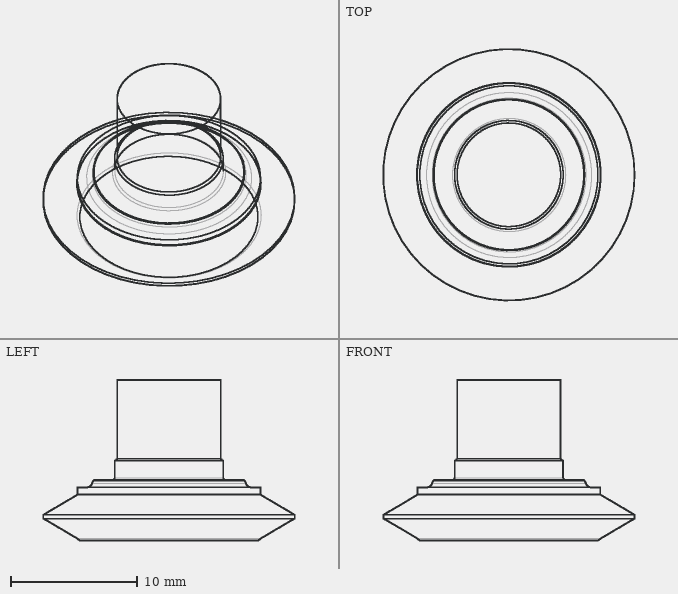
import cadquery as cq
import math

rim_radius = 9.97
rim_bottom = 1.75
rim_top = 2.05
cone_end_radius = 7.3
lower_cone_end = 0.18
cone_height = rim_bottom - lower_cone_end
upper_cone_end = rim_top + cone_height
base_radius = 7.05
wheel_top = 3.69

flange_radius = 7.25
flange_top = 4.23
boss_radius = 6.0
boss_foot_radius = 6.1
boss_foot_height = 4.57
boss_top = 4.83
boss_edge_break = 0.05
boss_fillet_end_radius = 6.55
collar_radius = 4.3
collar_top = 6.48
collar_foot_fillet = 0.18
collar_chamfer_height = 0.15
shank_radius = 4.1
shank_top = 12.75


def revolve_about_z(profile):
    """Revolve a closed radius-height outline a full turn about Z."""
    return profile.revolve(360, (0, 0, 0), (0, 1, 0))


def make_wheel():
    profile = (
        cq.Workplane("XZ")
        .lineTo(base_radius, 0)
        .lineTo(cone_end_radius, lower_cone_end)
        .lineTo(rim_radius, rim_bottom)
        .lineTo(rim_radius, rim_top)
        .lineTo(cone_end_radius, upper_cone_end)
        .lineTo(flange_radius, wheel_top)
        .lineTo(0, wheel_top)
        .close()
    )
    return revolve_about_z(profile)


def make_spindle():
    fillet_inset = collar_foot_fillet * (1 - math.sqrt(0.5))
    foot_fillet_middle = (collar_radius + fillet_inset, boss_top + fillet_inset)
    profile = (
        cq.Workplane("XZ")
        .moveTo(0, wheel_top)
        .lineTo(flange_radius, wheel_top)
        .lineTo(flange_radius, flange_top)
        .lineTo(boss_fillet_end_radius, flange_top)
        .tangentArcPoint((boss_foot_radius, boss_foot_height), relative=False)
        .lineTo(boss_radius, boss_top - boss_edge_break)
        .lineTo(boss_radius - boss_edge_break, boss_top)
        .lineTo(collar_radius + collar_foot_fillet, boss_top)
        .threePointArc(foot_fillet_middle, (collar_radius, boss_top + collar_foot_fillet))
        .lineTo(collar_radius, collar_top - collar_chamfer_height)
        .lineTo(shank_radius, collar_top)
        .lineTo(shank_radius, shank_top)
        .lineTo(0, shank_top)
        .close()
    )
    return revolve_about_z(profile)


wheel = make_wheel()
spindle = make_spindle()

result = cq.Compound.makeCompound([wheel.val(), spindle.val()])